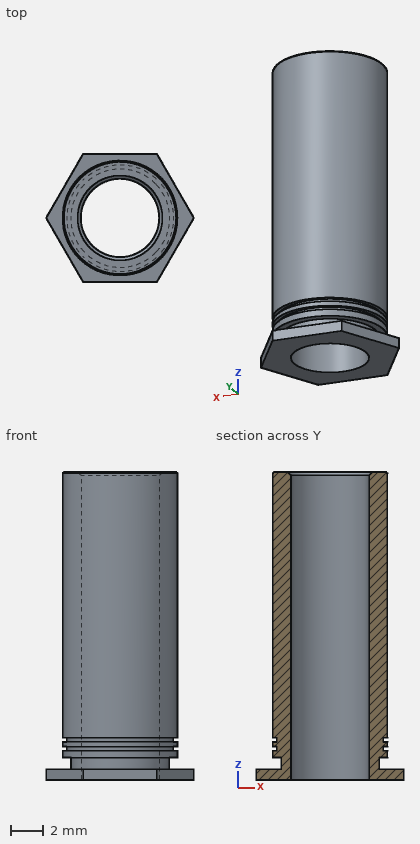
import cadquery as cq
import math

TOTAL_LENGTH = 19.05
HEX_SIDES = 6
HEX_ACROSS_FLATS = 7.92
HEX_ACROSS_CORNERS = HEX_ACROSS_FLATS / math.cos(math.pi / HEX_SIDES)
HEX_THICKNESS = 0.67

BARREL_DIAMETER = 7.11
GROOVE_DIAMETER = 6.6
NECK_DIAMETER = 6.1
NECK_TOP = 1.39
GROOVE_WIDTH = 0.25
LOWER_GROOVE_BOTTOM = 1.82
GROOVE_PITCH = 0.54
GROOVE_COUNT = 2
RIM_CHAMFER = 0.09

BORE_DIAMETER = 4.83
MOUTH_DIAMETER = 5.25
MOUTH_DEPTH = (MOUTH_DIAMETER - BORE_DIAMETER) / 2


def disc(diameter, bottom, top):
    """Solid cylinder on the Z axis between two heights."""
    return cq.Workplane("XY").workplane(offset=bottom).circle(diameter / 2).extrude(top - bottom)


def make_head():
    """Hexagonal head with two corners on the X axis."""
    return cq.Workplane("XY").polygon(HEX_SIDES, HEX_ACROSS_CORNERS).extrude(HEX_THICKNESS)


def make_barrel():
    """Barrel with a chamfered top rim and evenly spaced ring grooves."""
    barrel = disc(BARREL_DIAMETER, NECK_TOP, TOTAL_LENGTH).faces(">Z").chamfer(RIM_CHAMFER)
    for index in range(GROOVE_COUNT):
        bottom = LOWER_GROOVE_BOTTOM + index * GROOVE_PITCH
        top = bottom + GROOVE_WIDTH
        ring = disc(BARREL_DIAMETER, bottom, top).cut(disc(GROOVE_DIAMETER, bottom, top))
        barrel = barrel.cut(ring)
    return barrel


def make_bore():
    """Through bore joined to the conical countersink at the top."""
    mouth = (
        cq.Workplane("XY")
        .workplane(offset=TOTAL_LENGTH - MOUTH_DEPTH)
        .circle(BORE_DIAMETER / 2)
        .workplane(offset=MOUTH_DEPTH)
        .circle(MOUTH_DIAMETER / 2)
        .loft(ruled=True)
    )
    return disc(BORE_DIAMETER, 0, TOTAL_LENGTH).union(mouth)


neck = disc(NECK_DIAMETER, HEX_THICKNESS, NECK_TOP)
result = make_head().union(neck).union(make_barrel()).cut(make_bore())